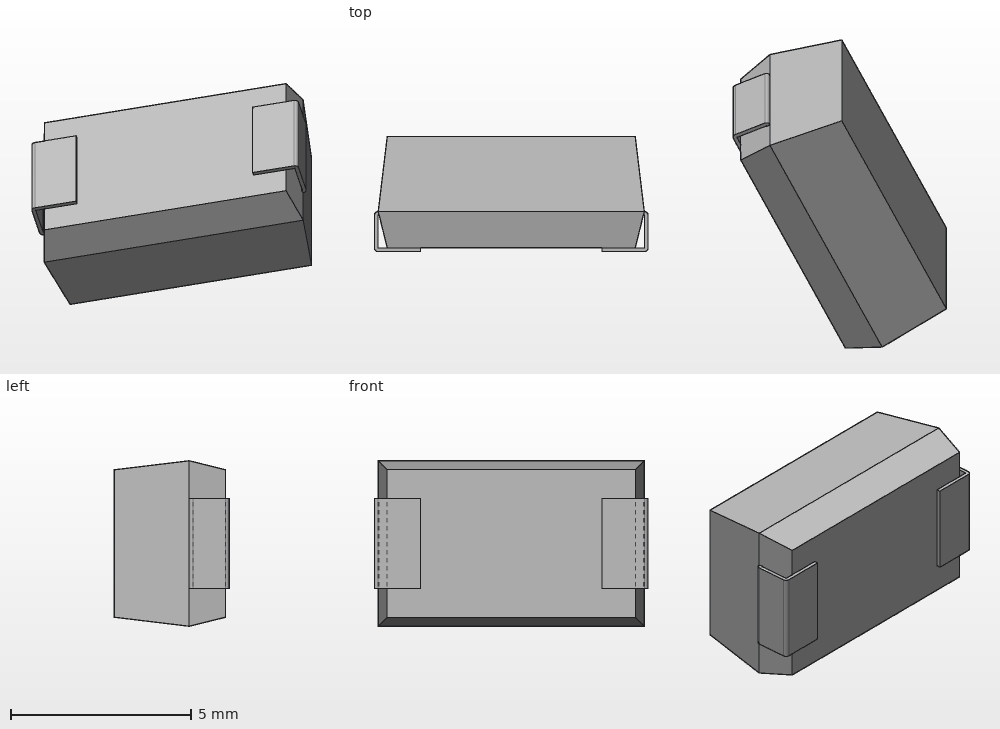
import cadquery as cq

length = 7.6
height = 4.6
depth = 3.2

lead_thickness = 0.11
case_length = length - 2 * lead_thickness
case_inset = 0.25
front_half_depth = 1.01
back_half_depth = depth - lead_thickness - front_half_depth

lead_width = 2.5
foot_length = 1.285
bend_radius = lead_thickness

foot_inner_y = -front_half_depth
foot_outer_y = foot_inner_y - lead_thickness


def tapered_half(taper_depth):
    """Frustum from the parting plane to a smaller flat face; negative depth runs toward -Y."""
    return (
        cq.Workplane("XZ")
        .rect(case_length, height)
        .workplane(offset=-taper_depth)
        .rect(case_length - 2 * case_inset, height - 2 * case_inset)
        .loft(combine=True)
    )


def lead(side):
    """Bent strip at one end; side is -1 for the -X end and +1 for the +X end."""
    outer_x = length / 2
    inner_x = case_length / 2
    foot_end_x = outer_x - foot_length
    wall_x = inner_x - case_inset * lead_thickness / front_half_depth
    profile = (
        cq.Workplane("XY")
        .workplane(offset=-lead_width / 2)
        .moveTo(foot_end_x, foot_outer_y)
        .lineTo(outer_x - bend_radius, foot_outer_y)
        .radiusArc((outer_x, foot_outer_y + bend_radius), -bend_radius)
        .lineTo(outer_x, -bend_radius)
        .radiusArc((outer_x - bend_radius, 0), -bend_radius)
        .lineTo(wall_x, -lead_thickness)
        .lineTo(inner_x, -lead_thickness)
        .lineTo(inner_x, foot_inner_y)
        .lineTo(foot_end_x, foot_inner_y)
        .close()
    )
    strip = profile.extrude(lead_width)
    return strip if side > 0 else strip.mirror("YZ")


front_half = tapered_half(-front_half_depth)
back_half = tapered_half(back_half_depth)
leads = [lead(side).val() for side in (-1, 1)]

result = cq.Compound.makeCompound([front_half.val(), back_half.val(), *leads])